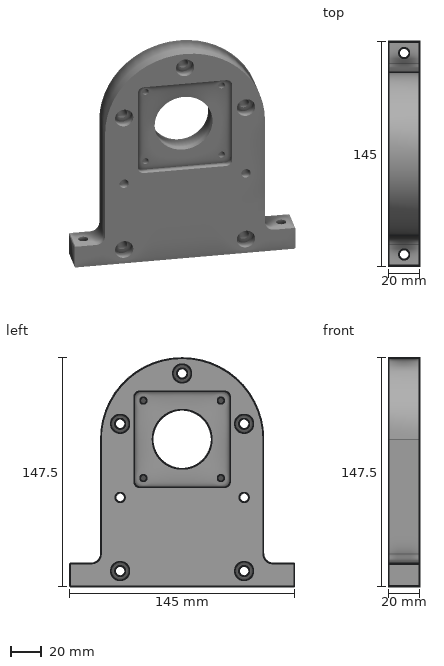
import cadquery as cq

thickness = 20.0
base_width = 145.0
foot_height = 15.0
body_width = 105.0
overall_height = 147.5
body_radius = body_width / 2
bore_height = overall_height - body_radius
foot_fillet = 6.0
foot_edge_chamfer = 0.5

bore_diameter = 38.0
recess_side = 62.0
recess_depth = 5.0
recess_corner_radius = 4.0
tapped_diameter = 4.23
tapped_spacing = 50.0
tapped_depth = 10.0

screw_diameter = 6.5
counterbore_diameter = 12.0
counterbore_depth = 7.0
hole_offset = 40.0
lower_screw_height = 10.0
side_screw_rise = 10.0
side_screw_height = bore_height + side_screw_rise
top_screw_inset = 10.0
top_screw_height = overall_height - top_screw_inset
dowel_diameter = 6.0
dowel_height = (lower_screw_height + side_screw_height) / 2

foot_hole_diameter = 6.5
foot_hole_spacing = 130.0

front_x = -thickness / 2


def block_from_front(width, height, depth, center_z):
    """Box that starts on the front face and runs back along +X."""
    return cq.Workplane("XY").box(depth, width, height).translate((front_x + depth / 2, 0, center_z))


def drill_from_front(points, diameter, depth, start=0.0):
    """Cylinders along +X at (y, z) points, starting a given distance behind the front face."""
    plane = cq.Workplane("YZ", origin=(front_x + start, 0, 0))
    return plane.pushPoints(points).circle(diameter / 2).extrude(depth)


def make_plate():
    base = block_from_front(base_width, foot_height, thickness, foot_height / 2)
    base = base.edges("|X").chamfer(foot_edge_chamfer)
    column = block_from_front(body_width, bore_height, thickness, bore_height / 2)
    dome = drill_from_front([(0, bore_height)], body_radius * 2, thickness)
    plate = base.union(column).union(dome)
    margin = foot_edge_chamfer / 2
    corners = cq.selectors.BoxSelector(
        (-thickness, -body_radius - margin, foot_height - margin),
        (thickness, body_radius + margin, foot_height + margin),
    )
    return plate.edges("|X").edges(corners).fillet(foot_fillet)


def cut_bore_and_recess(plate):
    recess = block_from_front(recess_side, recess_side, recess_depth, bore_height)
    recess = recess.edges("|X").fillet(recess_corner_radius)
    bore = drill_from_front([(0, bore_height)], bore_diameter, thickness)
    half = tapped_spacing / 2
    tapped_points = [(y, bore_height + z) for y in (-half, half) for z in (-half, half)]
    tapped = drill_from_front(tapped_points, tapped_diameter, tapped_depth, recess_depth)
    return plate.cut(recess).cut(bore).cut(tapped)


def cut_screw_and_dowel_holes(plate):
    sides = (-hole_offset, hole_offset)
    screw_points = [(y, z) for y in sides for z in (lower_screw_height, side_screw_height)]
    screw_points.append((0, top_screw_height))
    dowel_points = [(y, dowel_height) for y in sides]
    plate = plate.cut(drill_from_front(screw_points, screw_diameter, thickness))
    plate = plate.cut(drill_from_front(screw_points, counterbore_diameter, counterbore_depth))
    return plate.cut(drill_from_front(dowel_points, dowel_diameter, thickness))


def cut_foot_holes(plate):
    half = foot_hole_spacing / 2
    holes = cq.Workplane("XY").pushPoints([(0, -half), (0, half)])
    return plate.cut(holes.circle(foot_hole_diameter / 2).extrude(foot_height))


result = make_plate()
result = cut_bore_and_recess(result)
result = cut_screw_and_dowel_holes(result)
result = cut_foot_holes(result)